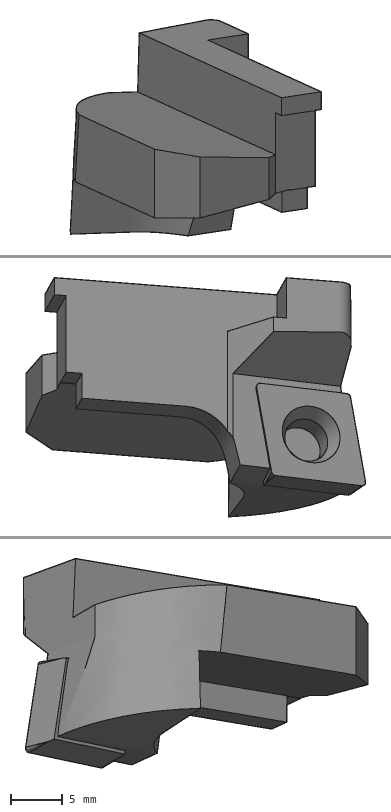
import cadquery as cq
import math

length = 31.2
width = 21.5
height = 19.2
margin = 6.25

rail_front = 12.4
rail_back = 16.9
top_slope = 8.0
bottom_slope = 6.0
top_front_height = 14.9
leg_front_height = 2.15
leg_foot_height = 0.85
block_front_height = 7.95

column_radius = 16.37
column_foot = (17.47, 15.25)
column_lean = (1.37, 0.25)
column_split = 15.6

leg_right = 10.42
recess_back = 14.05
recess_radius = 6.5
lug_bottom = 6.75
lug_end = 28.45
lug_step_height = 9.35
arc_radius = 5.0
arc_centre_x = 18.1
leg_side_angle = 14.0

rail_lip_bottom = 17.4
neck_end = 30.0
end_chamfer_y = 11.0
front_chamfer_x = 27.85
front_chamfer_y = 3.25
head_end = 8.98
shelf_height = 14.97
shelf_back_x = 10.25
shelf_front_x = 13.88
head_corner_radius = 1.4
head_corner_left = 2.25

frame_angle = 6.0
frame_origin = (-0.078, 16.37, 0)
side_top_u = 2.95
side_knee = (2.53, 10.35)
side_foot_u = 0.85
flank_v = -0.37
overhang_rise = 3.0
overhang_run = 4.25

insert_side = 9.67
insert_angle = 80.0
insert_thickness = 3.95
insert_clearance = 7.0
nose_radius = 0.4
insert_hole_diameter = 4.4
insert_sink_diameter = 5.93
sink_depth = 1.55

top_fall = math.tan(math.radians(top_slope))
bottom_fall = math.tan(math.radians(bottom_slope))


def box(x0, x1, y0, y1, z0, z1):
    """Box between two opposite corners."""
    return cq.Workplane("XY").box(x1 - x0, y1 - y0, z1 - z0, centered=False).translate((x0, y0, z0))


def in_cutting_frame(shape):
    """Move a shape drawn in U, V, Z to its place on the part."""
    return shape.rotate((0, 0, 0), (0, 0, 1), frame_angle).translate(frame_origin)


def plan_prism(points, bottom, top):
    """Vertical prism over a plan outline."""
    return cq.Workplane("XY").workplane(offset=bottom).polyline(points).close().extrude(top - bottom)


def holder_stock():
    """Stepped section along the full length."""
    foot_start = (leg_front_height - leg_foot_height) / bottom_fall
    section = [
        (0, leg_front_height),
        (foot_start, leg_foot_height),
        (width, leg_foot_height),
        (width, height),
        (rail_front, height),
        (rail_front, top_front_height - rail_front * top_fall),
        (0, top_front_height),
    ]
    return cq.Workplane("YZ").polyline(section).close().extrude(length)


def round_side():
    """Space inside the leaning column, opened to the right and to the back."""
    column = (
        cq.Workplane("XY")
        .center(*column_foot)
        .circle(column_radius)
        .workplane(offset=height)
        .center(*column_lean)
        .circle(column_radius)
        .loft(ruled=True)
    )
    right = box(column_split, length, 0, width, 0, height)
    back = box(0, length, column_split, width, 0, height)
    return column.union(right).union(back)


def side_space():
    """Space to the right of the two sloping left faces."""
    outline = [
        (side_top_u, height),
        side_knee,
        (side_foot_u, 0),
        (length + margin, 0),
        (length + margin, height),
    ]
    return in_cutting_frame(cq.Workplane("XZ").polyline(outline).close().extrude(length, both=True))


def overhang_cut():
    """Flat wall level with the insert and the sloping underside of the head."""
    reach = 3 * overhang_run
    rise = 3 * overhang_rise
    knee_height = side_knee[1]
    outline = [
        (flank_v, -margin),
        (flank_v, knee_height),
        (flank_v + reach, knee_height + rise),
        (flank_v + reach, -margin),
    ]
    cut = cq.Workplane("YZ").workplane(offset=-margin).polyline(outline).close()
    return in_cutting_frame(cut.extrude(length + 2 * margin))


def front_recess_cut():
    """Space in front of the leg and lug, below the sloping underside of the block."""
    arc_x = leg_right + recess_radius
    arc_y = recess_back - recess_radius
    mid = recess_radius * math.sqrt(0.5)
    plan = (
        cq.Workplane("XY")
        .moveTo(leg_right, -margin)
        .lineTo(leg_right, arc_y)
        .threePointArc((arc_x - mid, arc_y + mid), (arc_x, recess_back))
        .lineTo(length + margin, recess_back)
        .lineTo(length + margin, -margin)
        .close()
        .extrude(height)
    )
    section = [
        (-margin, 0),
        (-margin, block_front_height - margin * bottom_fall),
        (width, block_front_height + width * bottom_fall),
        (width, 0),
    ]
    below = cq.Workplane("YZ").polyline(section).close().extrude(length + margin)
    return plan.intersect(below)


def leg_side_cut():
    """Space right of the leg, under the lug, joined by a concave arc."""
    arc_centre_z = lug_bottom - arc_radius

    def on_arc(degrees):
        turn = math.radians(degrees)
        return (arc_centre_x - arc_radius * math.cos(turn), arc_centre_z + arc_radius * math.sin(turn))

    start = on_arc(leg_side_angle)
    foot_x = start[0] - start[1] * math.tan(math.radians(leg_side_angle))
    return (
        cq.Workplane("XZ")
        .moveTo(foot_x, 0)
        .lineTo(*start)
        .threePointArc(on_arc((leg_side_angle + 90) / 2), on_arc(90))
        .lineTo(length + margin, lug_bottom)
        .lineTo(length + margin, 0)
        .close()
        .extrude(-width)
    )


def head_corner_cut():
    """Space outside the upright round corner at the back left of the head."""
    centre_x = head_corner_left + head_corner_radius
    centre_y = width - head_corner_radius
    corner = box(0, centre_x, centre_y, width, 0, height)
    post = cq.Workplane("XY").center(centre_x, centre_y).circle(head_corner_radius).extrude(height)
    return corner.cut(post)


def rail_cuts():
    """Spaces behind the rail, under its end lip and at the end of the lug."""
    shelf = box(head_end, length, rail_back, width, shelf_height, height)
    slant = [
        (shelf_back_x, width),
        (shelf_front_x, rail_back),
        (length, rail_back),
        (length, width),
    ]
    behind = plan_prism(slant, 0, height)
    under_lip = box(neck_end, length, rail_front, width, 0, rail_lip_bottom)
    lug_step = box(lug_end, length, recess_back, width, 0, lug_step_height)
    return [shelf, behind, under_lip, lug_step]


def end_chamfers():
    """Corners taken off the right end of the block."""
    front = plan_prism([(front_chamfer_x, 0), (length, front_chamfer_y), (length, 0)], 0, height)
    corner = [(neck_end, rail_front), (length, rail_front), (length, end_chamfer_y)]
    back = plan_prism(corner, 0, rail_lip_bottom)
    return [front, back]


def insert_blank():
    """Insert without its hole, narrowing away from its cutting face."""
    lean = math.radians(insert_angle)
    step_x = insert_side * math.cos(lean)
    step_z = insert_side * math.sin(lean)
    outline = [(0, 0), (insert_side, 0), (insert_side + step_x, step_z), (step_x, step_z)]
    profile = cq.Sketch().polygon(outline + outline[:1]).vertices().fillet(nose_radius)
    blank = cq.Workplane("XZ").placeSketch(profile).extrude(insert_thickness, taper=insert_clearance)
    return in_cutting_frame(blank)


def insert_hole():
    """Straight screw hole with a conical mouth, square to the insert face."""
    lean = math.radians(insert_angle)
    centre = (insert_side * (1 + math.cos(lean)) / 2, insert_side * math.sin(lean) / 2)
    hole = cq.Workplane("XZ").center(*centre).circle(insert_hole_diameter / 2).extrude(insert_thickness)
    mouth = (
        cq.Workplane("XZ")
        .center(*centre)
        .circle(insert_sink_diameter / 2)
        .workplane(offset=sink_depth)
        .circle(insert_hole_diameter / 2)
        .loft()
    )
    return in_cutting_frame(hole.union(mouth))


def make_holder():
    body = holder_stock().intersect(side_space()).cut(overhang_cut())
    body = body.intersect(round_side())
    cuts = [head_corner_cut(), front_recess_cut(), leg_side_cut(), *rail_cuts(), *end_chamfers()]
    for cut in cuts:
        body = body.cut(cut)
    return body.cut(insert_blank())


holder = make_holder()
insert = insert_blank().cut(insert_hole())

result = cq.Compound.makeCompound([holder.val(), insert.val()])